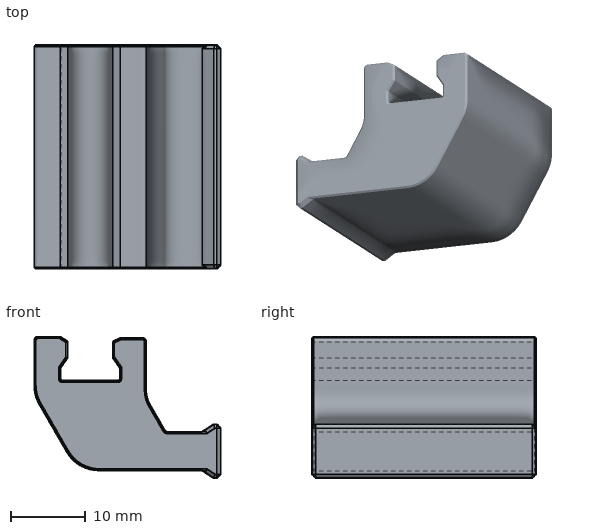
import cadquery as cq
import math

length = 30.0
total_width = 25.0
total_height = 18.95

arms_width = 15.0
arm_thickness = 4.5
right_arm_drop = 0.18
lip_run = 1.02
lip_height = 18.3
throat_bottom = 16.15
undercut_depth = 0.95
undercut_top = 14.75
slot_floor = 13.08

foot_angle = 60.0
shank_bottom = 1.02
shank_top = 6.2
outer_knee_height = 11.07
shank_start = 17.6

flange_start = 22.47
ridge_start = 24.03
flange_top = shank_top + shank_bottom

end_chamfer = 0.25
flange_chamfer = 0.55
arm_corner_radius = 0.5
lip_radius = 0.4
slot_corner_radius = 0.27
outer_knee_radius = 5.0
heel_radius = 5.0
inner_knee_radius = 4.2
shank_corner_radius = 0.5

foot_slope = math.tan(math.radians(foot_angle))
right_arm_top = total_height - right_arm_drop
right_arm_inner = arms_width - arm_thickness
slot_left = arm_thickness - undercut_depth
slot_right = right_arm_inner + undercut_depth
heel_x = (outer_knee_height - shank_bottom) / foot_slope
inner_knee_height = shank_top + (shank_start - arms_width) * foot_slope
flange_middle = flange_top / 2
flare_slope = (flange_top - shank_top) / (ridge_start - flange_start)
flare_apex_x = ridge_start - flange_middle / flare_slope

top_left = (0, total_height)
right_lip = (right_arm_inner, lip_height)
top_right = (arms_width, right_arm_top)
slot_corner_left = (slot_left, slot_floor)
slot_corner_right = (slot_right, slot_floor)
inner_knee = (arms_width, inner_knee_height)
shank_corner = (shank_start, shank_top)
heel = (heel_x, shank_bottom)
outer_knee = (0, outer_knee_height)

body_outline = [
    top_left,
    (arm_thickness - lip_run, total_height),
    (arm_thickness, lip_height),
    (arm_thickness, throat_bottom),
    (slot_left, undercut_top),
    slot_corner_left,
    slot_corner_right,
    (slot_right, undercut_top),
    (right_arm_inner, throat_bottom),
    right_lip,
    (right_arm_inner + lip_run, right_arm_top),
    top_right,
    inner_knee,
    shank_corner,
    (ridge_start, shank_top),
    (ridge_start, shank_bottom),
    heel,
    outer_knee,
]

flange_outline = [
    (flare_apex_x, flange_middle),
    (ridge_start, flange_top),
    (total_width, flange_top),
    (total_width, 0),
    (ridge_start, 0),
]

corner_radii = [
    (top_left, arm_corner_radius),
    (right_lip, lip_radius),
    (top_right, arm_corner_radius),
    (slot_corner_left, slot_corner_radius),
    (slot_corner_right, slot_corner_radius),
    (inner_knee, inner_knee_radius),
    (shank_corner, shank_corner_radius),
    (heel, heel_radius),
    (outer_knee, outer_knee_radius),
]


def bar_along_y(outline):
    """Full-length bar of constant section, centred on Y = 0."""
    return cq.Workplane("XZ").polyline(outline).close().extrude(length / 2, both=True)


def round_corners(bar, radii):
    """Fillet the lengthwise edge through each (x, z) corner."""
    for (x, z), radius in radii:
        corner_edge = cq.selectors.NearestToPointSelector((x, 0, z))
        bar = bar.edges("|Y").edges(corner_edge).fillet(radius)
    return bar


body = round_corners(bar_along_y(body_outline), corner_radii)
body = body.faces("<Y or >Y").edges().chamfer(end_chamfer)

flange = bar_along_y(flange_outline)
flange = flange.faces("<Y or >Y or >X").edges().chamfer(flange_chamfer)

result = body.union(flange)